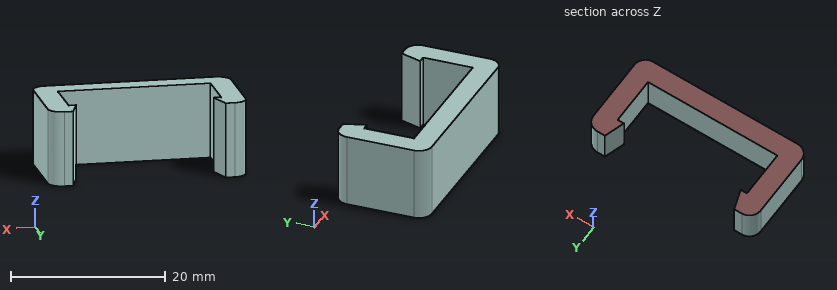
import cadquery as cq

length = 26.2
depth = 13.0
height = 10.0

wall = 3.0
corner_radius = 1.8
barb_reach = 1.0
barb_length = 3.0

inner_half = length / 2 - wall
barb_base = depth - barb_length


def make_block():
    """Solid block with its four upright edges rounded."""
    block = cq.Workplane("XY").box(length, depth, height, centered=(True, False, False))
    return block.edges("|Z").fillet(corner_radius)


def make_opening():
    """Channel open towards +Y, narrowed by a tapered barb on each arm."""
    barb_half = inner_half - barb_reach
    right_side = [
        (inner_half, wall),
        (inner_half, barb_base),
        (barb_half, barb_base),
        (inner_half, depth),
    ]
    left_side = [(-x, y) for x, y in reversed(right_side)]
    return cq.Workplane("XY").polyline(right_side + left_side).close().extrude(height)


result = make_block().cut(make_opening())